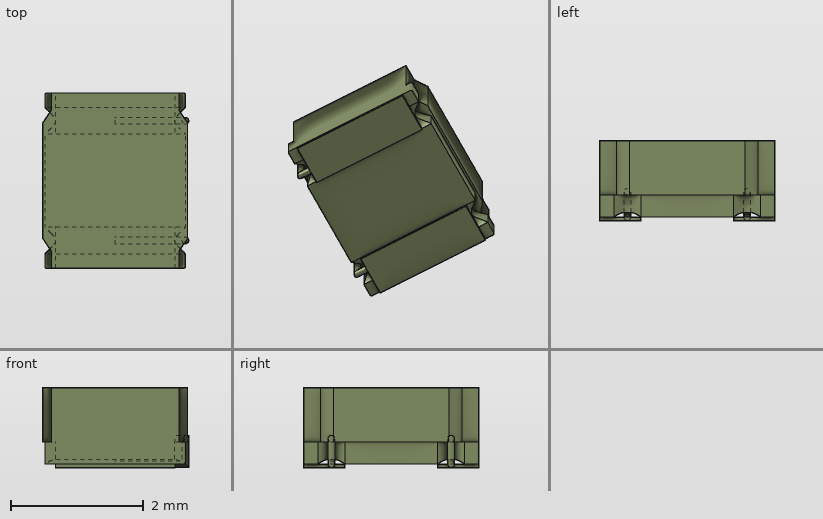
import cadquery as cq

length = 2.64
height = 1.21
half_length = length / 2

cap_half_width = 1.09
cap_end_half_width = 0.96
step_outer_y = 1.06
step_inner_y = 0.869
cap_bottom_z = 0.385

base_half_width = 1.059
base_bottom_z = 0.055
corner_radius = 0.03

notch_y = 0.9
notch_half_width = 0.2
notch_depth = 0.165

arch_height = 0.075

plate_half_width = 0.9
plate_inner_y = notch_y - notch_half_width
wire_diameter = 0.1
wire_radius = wire_diameter / 2
wire_outer_x = 1.11
lead_x = wire_outer_x - wire_radius
wire_bottom_z = 0.005
wire_low_z = wire_bottom_z + wire_radius
lead_top_z = 0.488
wire_high_z = lead_top_z - wire_radius
wire_inner_x = plate_half_width
wire_start_x = 0.0


def make_cap():
    """Upper block with slanted steps near its four corners."""
    corner = [
        (cap_half_width, step_inner_y),
        (cap_end_half_width, step_outer_y),
        (cap_end_half_width, half_length),
    ]
    right_side = [(x, -y) for x, y in reversed(corner)] + corner
    left_side = [(-x, y) for x, y in reversed(right_side)]
    outline = cq.Workplane("XY").workplane(offset=cap_bottom_z).polyline(right_side + left_side)
    return outline.close().extrude(height - cap_bottom_z)


def make_notch(side, end):
    """Cutter for one smooth side notch; side and end are -1 or 1."""
    mouth_x = side * base_half_width
    root_x = side * (base_half_width - notch_depth)
    start = (mouth_x, end * notch_y - notch_half_width)
    root = (root_x, end * notch_y)
    finish = (mouth_x, end * notch_y + notch_half_width)
    flank_tangents = [(-side, 1), (side, 1)]
    return (
        cq.Workplane("XY").workplane(offset=base_bottom_z)
        .moveTo(*start)
        .spline([root, finish], tangents=flank_tangents, includeCurrent=True)
        .close().extrude(cap_bottom_z - base_bottom_z)
    )


def make_arch(end):
    """Cutter for the arched channel running along X at one end."""
    return (
        cq.Workplane("YZ").workplane(offset=-base_half_width)
        .moveTo(end * notch_y - notch_half_width, base_bottom_z)
        .threePointArc(
            (end * notch_y, base_bottom_z + arch_height),
            (end * notch_y + notch_half_width, base_bottom_z),
        )
        .close().extrude(2 * base_half_width)
    )


def make_wire(end):
    """Round wire: from mid-plate along the plate, up the side, and back in, with mitred bends."""
    path = cq.Workplane("XZ", origin=(0, end * notch_y, 0)).polyline([
        (wire_start_x, wire_low_z),
        (lead_x, wire_low_z),
        (lead_x, wire_high_z),
        (wire_inner_x, wire_high_z),
    ])
    start = cq.Workplane("YZ", origin=(wire_start_x, end * notch_y, wire_low_z))
    return start.circle(wire_radius).sweep(path, transition="right")


def make_terminal(end):
    """Flat contact plate joined to its wire lead."""
    plate = cq.Workplane("XY").box(
        2 * plate_half_width, half_length - plate_inner_y, base_bottom_z, centered=(True, True, False)
    ).translate((0, end * (half_length + plate_inner_y) / 2, 0))
    return plate.union(make_wire(end))


def make_housing(terminals):
    """Cap and notched base in one body, with recesses for the terminals."""
    base = (
        cq.Workplane("XY").workplane(offset=base_bottom_z)
        .rect(2 * base_half_width, length).extrude(cap_bottom_z - base_bottom_z)
        .edges("|Z").fillet(corner_radius)
    )
    for end in (-1, 1):
        for side in (-1, 1):
            base = base.cut(make_notch(side, end))
    body = base.union(make_cap())
    for end in (-1, 1):
        body = body.cut(make_arch(end))
    for terminal in terminals:
        body = body.cut(terminal)
    return body


terminals = [make_terminal(end) for end in (-1, 1)]
housing = make_housing(terminals)

result = cq.Compound.makeCompound([
    housing.solids().val(),
    *[terminal.solids().val() for terminal in terminals],
])